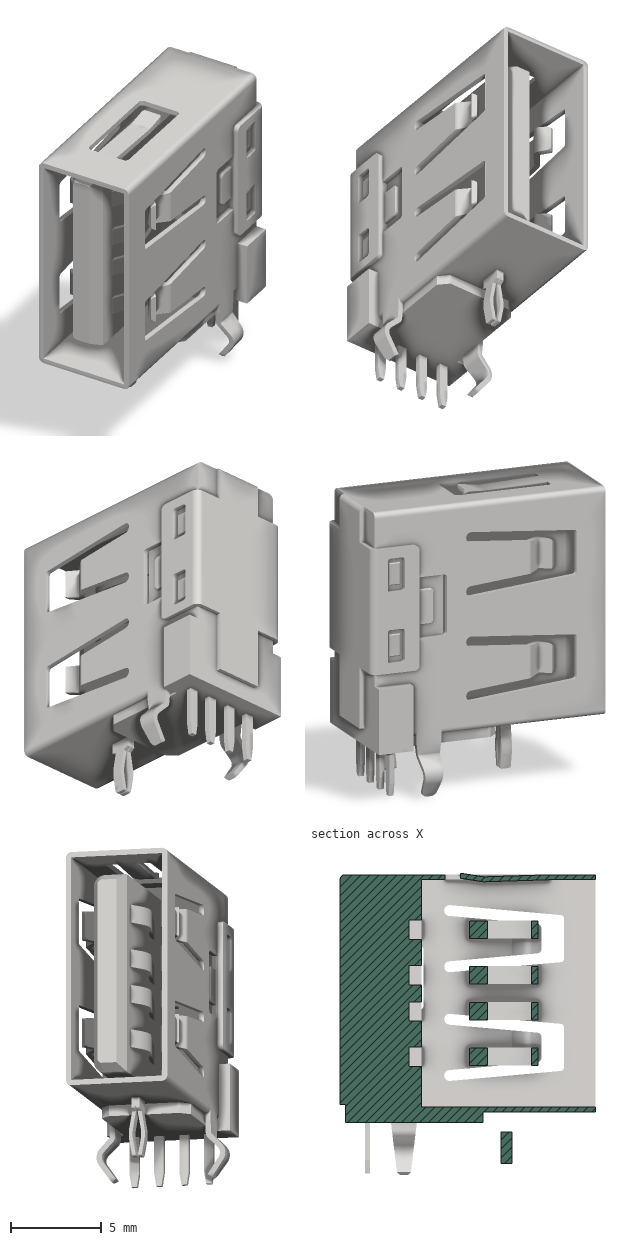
import cadquery as cq
import math


wall = 0.3
shell_half_width = 2.88
shell_bottom = 3.5
shell_top = 16.6
shell_depth = 13.8
shell_corner = 0.32
inner_half_width = shell_half_width - wall
mid_z = (shell_bottom + shell_top) / 2

back_y = shell_depth + wall
strip_half_width = 1.45
strip_bottom = 3.9
strip_bend = 0.28
wing_gap = 0.03
wing_center_x = shell_half_width + wing_gap + wall / 2
wing_front = 11.25
wing_bottom, wing_top = 7.42, 14.6
wing_bend = 0.25
wing_corner = 0.3
latch_hole_length, latch_hole_height, latch_hole_corner = 1.02, 1.93, 0.17
latch_length, latch_height, latch_rise = 0.67, 1.28, 0.13
latch_y = 12.65
latch_heights = (13.05, 8.95)

side_window_front, side_window_back = 9.49, 11.3
side_window_bottom, side_window_top = 9.14, 12.65
side_latch_front, side_latch_bottom, side_latch_top = 10.22, 9.87, 11.92
side_latch_height = 0.2
side_window_corner, side_latch_corner = 0.2, 0.25
latch_chamfer = 0.05

spring_pitch = 6.0
spring_heights = (mid_z - spring_pitch / 2, mid_z + spring_pitch / 2)
slot_width = 0.6
slot_end = 8.34
window_front = 1.73
window_half_root, window_half_front = 1.85, 1.28
finger_end, spring_tip, spring_peak, spring_bend = 2.97, 3.07, 3.73, 4.55
spring_depth = 0.68
spring_flare = 0.6
spring_bend_radius = 0.17
window_corner, finger_corner = 0.18, 0.25

top_window_half, top_window_front, top_window_back = 1.27, 2.53, 8.3
top_finger_half = 0.58
top_finger_peak, top_finger_tip = 6.17, 7.47
top_finger_dip = 0.12
top_finger_tip_z = 16.54
top_finger_corner, top_window_corner = 0.2, 0.23
model_top = 16.67

body_front = 9.6
foot_bottom = 2.9
foot_half_width, foot_front, foot_chamfer = 2.53, 6.2, 0.53
block_half_width, block_front, block_top = 3.5, 11.75, 6.65
tongue_left, tongue_right = -1.77, 0.1
tongue_height = 11.1
tongue_corner = 0.63
tongue_front, lead_in, lead_in_depth = 1.12, 0.4, 0.78

inner_contact, outer_contact = 1.0, 3.5
contact_heights = (mid_z - outer_contact, mid_z - inner_contact,
                   mid_z + inner_contact, mid_z + outer_contact)
contact_width, contact_thickness = 1.0, 0.2
contact_back, contact_crest, contact_tip = 8.5, 4.08, 2.73
contact_end_x, contact_crest_x = -0.07, 0.8
contact_bend = 1.8
contact_slot_right, contact_slot_height, contact_slot_depth = 1.12, 1.03, 0.67
inner_pin, outer_pin = 0.72, 2.12
pin_places = (-outer_pin, -inner_pin, inner_pin, outer_pin)
pin_width, pin_tip_width, pin_thickness = 0.53, 0.3, 0.3
pin_y, pin_taper, pin_tip = 12.57, 0.83, 0.1

clip_back, clip_front = 11.3, 9.82
clip_tip_half = 0.37
clip_bend_z, clip_elbow_z = 2.37, 1.42
clip_bends = (0.25, 0.57)
clip_root_z = shell_bottom + 2 * wall
clip_taper_z = 3.13
clip_tip_z = 0.08
clip_tip_corner = 0.3

lock_y = 4.9
lock_neck_width, lock_leg_width = 1.25, 0.63
lock_thickness = 0.22
lock_spread = 0.38
lock_kink, lock_elbow, lock_tip = 3.07, 1.5, 0.28
lock_bends = (2.67, 1.77)
lock_tip_corner = 0.1
lock_shoulder, lock_shoulder_chamfer = 2.93, 0.15
lock_tip_gap = 0.05


def box(x0, x1, y0, y1, z0, z1):
    block = cq.Workplane("XY").box(x1 - x0, y1 - y0, z1 - z0, centered=False)
    return block.translate((x0, y0, z0))


def both_sides(part):
    return part.union(part.mirror("YZ"))


def unit(start, end):
    length = math.dist(start, end)
    return ((end[0] - start[0]) / length, (end[1] - start[1]) / length)


def bent_edge(sketch, path, bends, side):
    """Add the edge that lies a distance `side` left of the path, with an arc at every bend."""
    for before, corner, after, bend in zip(path, path[1:], path[2:], bends):
        a = unit(corner, before)
        b = unit(corner, after)
        half_angle = math.acos(a[0] * b[0] + a[1] * b[1]) / 2
        reach = bend / math.tan(half_angle)
        to_center = bend / math.sin(half_angle)
        bisector = unit((0, 0), (a[0] + b[0], a[1] + b[1]))
        start = (corner[0] + a[0] * reach + a[1] * side, corner[1] + a[1] * reach - a[0] * side)
        end = (corner[0] + b[0] * reach - b[1] * side, corner[1] + b[1] * reach + b[0] * side)
        turn = math.copysign(1, a[0] * b[1] - a[1] * b[0])
        middle_reach = to_center - (bend + turn * side)
        middle = (corner[0] + bisector[0] * middle_reach, corner[1] + bisector[1] * middle_reach)
        sketch = sketch.lineTo(*start).threePointArc(middle, end)
    return sketch


def strip_corner(point, direction, side):
    """Point a distance `side` to the left of a path end."""
    return (point[0] - direction[1] * side, point[1] + direction[0] * side)


def bent_strip(plane, path, thickness, bends):
    """Closed outline of a sheet-metal strip that follows a centre-line path."""
    half = thickness / 2
    first = unit(path[0], path[1])
    last = unit(path[-2], path[-1])
    sketch = cq.Workplane(plane).moveTo(*strip_corner(path[0], first, half))
    sketch = bent_edge(sketch, path, bends, half)
    sketch = sketch.lineTo(*strip_corner(path[-1], last, half))
    sketch = sketch.lineTo(*strip_corner(path[-1], last, -half))
    sketch = bent_edge(sketch, path[::-1], bends[::-1], half)
    sketch = sketch.lineTo(*strip_corner(path[0], first, -half))
    return sketch.close()


def make_shell():
    outer = box(-shell_half_width, shell_half_width, 0, shell_depth, shell_bottom, shell_top)
    outer = outer.edges("|Y").fillet(shell_corner)
    return outer.cut(box(-inner_half_width, inner_half_width, 0, shell_depth,
                         shell_bottom + wall, shell_top - wall))


def make_back_plate():
    strip = box(-strip_half_width, strip_half_width, shell_depth, back_y, strip_bottom, shell_top)
    strip = strip.edges(">Y and >Z").fillet(strip_bend)
    plate_y = back_y - wall / 2
    path = [(-wing_center_x, wing_front), (-wing_center_x, plate_y),
            (wing_center_x, plate_y), (wing_center_x, wing_front)]
    wings = bent_strip("XY", path, wall, [wing_bend, wing_bend]).extrude(wing_top - wing_bottom)
    wings = wings.translate((0, 0, wing_bottom)).edges("<Y and |X").fillet(wing_corner)
    hole = cq.Workplane("XY").box(4 * shell_half_width, latch_hole_length, latch_hole_height)
    hole = hole.edges("|X").fillet(latch_hole_corner)
    for z in latch_heights:
        wings = wings.cut(hole.translate((0, latch_y, z)))
    return strip.union(wings)


def make_wing_latches():
    latches = cq.Workplane("XY")
    for z in latch_heights:
        block = box(-shell_half_width - latch_rise, -inner_half_width,
                    latch_y - latch_length / 2, latch_y + latch_length / 2,
                    z - latch_height / 2, z + latch_height / 2)
        latches = latches.union(block.faces("<X").chamfer(latch_chamfer))
    return both_sides(latches)


def make_side_windows():
    """Cutter for the latch windows of both side walls."""
    window = box(-shell_half_width, shell_half_width, side_window_front, side_window_back,
                 side_window_bottom, side_window_top)
    return window.edges("|X and <Y").fillet(side_window_corner)


def make_side_latches():
    latch = box(-inner_half_width - side_latch_height, -inner_half_width, side_latch_front,
                wing_front + wall, side_latch_bottom, side_latch_top)
    latch = latch.edges("|X and <Y").fillet(side_latch_corner).faces("<X").chamfer(latch_chamfer)
    return both_sides(latch)


def make_finger_blank(z):
    """Tapered outline of one spring finger, long enough to reach past its root."""
    root = slot_end - slot_width / 2
    taper = (window_half_root - window_half_front) / (root - window_front)
    tip_half = window_half_front - slot_width + taper * (finger_end - window_front)
    past_root = slot_end + slot_width
    root_half = tip_half + taper * (past_root - finger_end)
    outline = [(finger_end, z - tip_half), (past_root, z - root_half),
               (past_root, z + root_half), (finger_end, z + tip_half)]
    blank = cq.Workplane("YZ").polyline(outline).close().extrude(shell_half_width, both=True)
    return blank.edges("|X and <Y").fillet(finger_corner)


def make_spring_slot(z):
    """Cutter for the U-shaped slot around a finger, through both side walls."""
    root = slot_end - slot_width / 2
    outline = [(window_front, z - window_half_front), (root, z - window_half_root),
               (root, z + window_half_root), (window_front, z + window_half_front)]
    window = cq.Workplane("YZ").polyline(outline).close().extrude(shell_half_width, both=True)
    window = window.edges("|X and <Y").fillet(window_corner)
    for side in (-1, 1):
        center = (root, z + side * (window_half_root - slot_width / 2))
        end = cq.Workplane("YZ").moveTo(*center).circle(slot_width / 2)
        window = window.union(end.extrude(shell_half_width, both=True))
    return window.cut(make_finger_blank(z))


def make_side_springs():
    flat_x = -shell_half_width + wall / 2
    path = [(flat_x, slot_end), (flat_x, spring_bend), (flat_x + spring_depth, spring_peak),
            (flat_x + spring_depth - spring_flare, spring_tip)]
    strip = bent_strip("XY", path, wall, [spring_bend_radius, spring_bend_radius]).extrude(shell_top)
    springs = cq.Workplane("XY")
    for z in spring_heights:
        springs = springs.union(strip.intersect(make_finger_blank(z)))
    return both_sides(springs)


def make_top_window():
    window = box(-top_window_half, top_window_half, top_window_front, top_window_back,
                 shell_top - wall, shell_top)
    return window.edges("|Z").fillet(top_window_corner)


def make_top_finger():
    flat_z = shell_top - wall / 2
    path = [(top_window_front - wall, flat_z), (top_window_front, flat_z),
            (top_finger_peak, flat_z - top_finger_dip),
            (top_finger_tip, top_finger_tip_z)]
    finger = bent_strip("YZ", path, wall, [wall, wall]).extrude(top_finger_half, both=True)
    blank = box(-top_finger_half, top_finger_half, 0, top_finger_tip, shell_bottom, model_top)
    return finger.intersect(blank.edges(">Y and |Z").fillet(top_finger_corner))


def make_insulator():
    body = box(-inner_half_width, inner_half_width, body_front, shell_depth,
               shell_bottom + wall, shell_top - wall)
    for z in contact_heights:
        half = contact_slot_height / 2
        body = body.cut(box(tongue_right, contact_slot_right, body_front,
                            body_front + contact_slot_depth, z - half, z + half))
    foot = box(-foot_half_width, foot_half_width, foot_front, shell_depth,
               foot_bottom, shell_bottom)
    foot = foot.edges("|Z and <Y").chamfer(foot_chamfer)
    blocks = box(-block_half_width, block_half_width, block_front, shell_depth,
                 foot_bottom, block_top)
    return body.union(foot).union(blocks).union(make_tongue())


def make_tongue():
    width = tongue_right - tongue_left
    straight_front = tongue_front + lead_in_depth
    outline = cq.Workplane("XZ", origin=((tongue_left + tongue_right) / 2, straight_front, mid_z))
    section = outline.sketch().rect(width, tongue_height).vertices("<X").fillet(tongue_corner).finalize()
    lead_angle = math.degrees(math.atan(lead_in / lead_in_depth))
    tip = section.extrude(lead_in_depth, taper=lead_angle)
    return section.extrude(straight_front - body_front).union(tip)


def make_contacts():
    path = [(contact_end_x, contact_back), (contact_crest_x, contact_crest),
            (contact_end_x, contact_tip)]
    strip = bent_strip("XY", path, contact_thickness, [contact_bend]).extrude(contact_width)
    contacts = cq.Workplane("XY")
    for z in contact_heights:
        contacts = contacts.union(strip.translate((0, 0, z - contact_width / 2)))
    return contacts


def make_pins():
    half = pin_width / 2
    tip = pin_tip_width / 2
    outline = [(-half, foot_bottom + wall), (-half, pin_taper), (-tip, pin_tip),
               (tip, pin_tip), (half, pin_taper), (half, foot_bottom + wall)]
    pin = cq.Workplane("XZ").polyline(outline).close().extrude(pin_thickness / 2, both=True)
    pins = cq.Workplane("XY")
    for x in pin_places:
        pins = pins.union(pin.translate((x, pin_y, 0)))
    return pins


def make_clips():
    flat_x = -shell_half_width + wall / 2
    elbow_x = flat_x - (clip_bend_z - clip_elbow_z)
    path = [(flat_x, clip_root_z), (flat_x, clip_bend_z),
            (elbow_x, clip_elbow_z), (flat_x, clip_tip_z)]
    strip = bent_strip("XZ", path, wall, clip_bends).extrude(-shell_depth)
    middle = (clip_back + clip_front) / 2
    half = (clip_back - clip_front) / 2
    outline = [(middle - half, clip_root_z), (middle - half, clip_taper_z),
               (middle - clip_tip_half, 0), (middle + clip_tip_half, 0),
               (middle + half, clip_taper_z), (middle + half, clip_root_z)]
    blank = cq.Workplane("YZ").polyline(outline).close().extrude(2 * shell_half_width, both=True)
    blank = blank.edges("|X and <Z").fillet(clip_tip_corner)
    return both_sides(strip.intersect(blank))


def make_board_lock():
    start_x = lock_thickness / 2
    path = [(start_x, shell_bottom + wall / 2), (start_x, lock_kink),
            (start_x + lock_spread - lock_thickness / 2, lock_elbow), (start_x + lock_tip_gap, lock_tip)]
    strip = bent_strip("XZ", path, lock_thickness, lock_bends).extrude(-shell_depth)
    neck = lock_neck_width / 2
    leg = lock_leg_width / 2
    leg_top = lock_shoulder - lock_shoulder_chamfer
    outline = [(-neck, shell_bottom + wall), (-neck, lock_shoulder), (-leg, leg_top),
               (-leg, lock_tip), (leg, lock_tip), (leg, leg_top), (neck, lock_shoulder),
               (neck, shell_bottom + wall)]
    blank = cq.Workplane("YZ").polyline(outline).close().extrude(shell_half_width, both=True)
    blank = blank.edges("|X and <Z").fillet(lock_tip_corner)
    return both_sides(strip.intersect(blank.translate((0, lock_y, 0))))


shell = make_shell().cut(make_side_windows()).cut(make_top_window())
for spring_z in spring_heights:
    shell = shell.cut(make_spring_slot(spring_z))
    shell = shell.cut(make_finger_blank(spring_z).intersect(
        box(-shell_half_width, shell_half_width, 0, spring_bend, shell_bottom, shell_top)))

result = shell
for part in (make_insulator(), make_back_plate(), make_wing_latches(), make_side_latches(),
             make_side_springs(), make_top_finger(), make_contacts(), make_pins(),
             make_clips(), make_board_lock()):
    result = result.union(part)